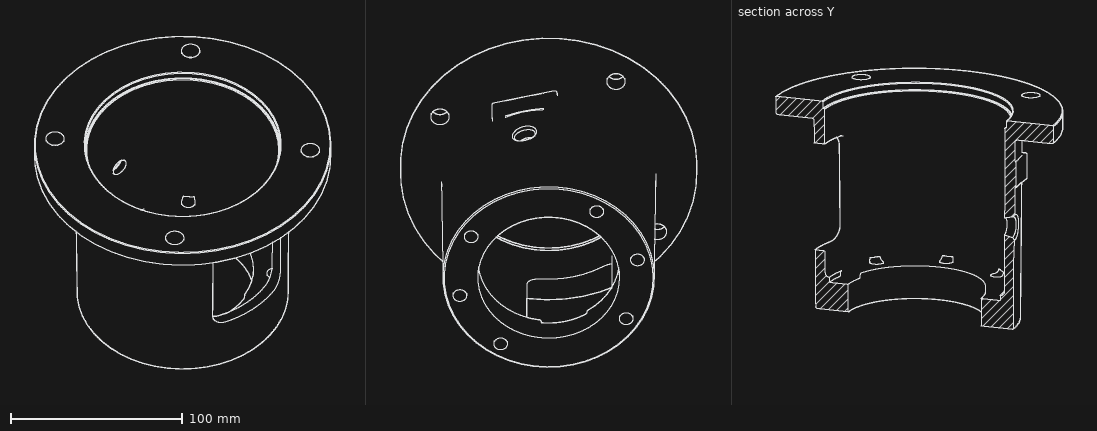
import cadquery as cq
import math

height = 127.0
flange_radius = 86.5
flange_thickness = 11.4
flange_top_chamfer = 0.5
flange_bottom_fillet = 1.5

body_top_radius = 62.7
body_bottom_radius = 61.7
body_root_fillet = 1.0
body_bottom_chamfer = 0.8

pilot_radius = 57.0
pilot_depth = 4.4
pilot_chamfer = 0.5
bore_top_radius = 56.0
bore_chamfer = 0.5
bore_floor_radius = 55.5
bore_floor_fillet = 2.5

floor_thickness = 20.0
floor_opening_radius = 41.3
pump_hole_diameter = 8.0
pump_bolt_circle = 106.4
pump_hole_angles = (45, 90, 135, 225, 270, 315)

channel_half_width = 13.7
channel_depth = 3.0
channel_fillet = 1.0

flange_hole_diameter = 10.7
flange_bolt_circle = 149.2
flange_hole_angles = (45, 135, 225, 315)

window_width = 52.6
window_top = height - 26.3
window_bottom = height - 91.1
window_corner_radius = 8.0
window_edge_fillet = 0.4

plug_depth_below_face = 64.7
plug_hole_radius = 5.0
plug_mouth_radius = 6.2
plug_countersink_radius = 7.7
plug_countersink_depth = 1.5

plate_width = 39.0
plate_height = 16.2
plate_top = height - 24.3
plate_face_x = -63.0
plate_corner_radius = 1.5
plate_edge_fillet = 1.0
plate_root_fillet = 0.6

clearance = 1.0

flange_underside = height - flange_thickness


def make_housing():
    """Flange and drafted body, solid inside."""
    flange = cq.Workplane("XY", origin=(0, 0, flange_underside)).circle(flange_radius).extrude(flange_thickness)
    flange = flange.faces(">Z").edges().chamfer(flange_top_chamfer)
    flange = flange.faces("<Z").edges().fillet(flange_bottom_fillet)
    body = (
        cq.Workplane("XY")
        .circle(body_bottom_radius)
        .workplane(offset=flange_underside)
        .circle(body_top_radius)
        .loft()
    )
    body = body.faces("<Z").edges().chamfer(body_bottom_chamfer)
    underside_edges = cq.selectors.BoxSelector(
        (-clearance, -clearance, flange_underside - clearance),
        (clearance, clearance, flange_underside + clearance),
    )
    smallest_circle = cq.selectors.RadiusNthSelector(0)
    return flange.union(body).edges(underside_edges).edges(smallest_circle).fillet(body_root_fillet)


def make_bore():
    """Revolved cutter for the pilot, the drafted bore and the pump opening."""
    pilot_floor = height - pilot_depth
    profile = [
        (0, -clearance),
        (floor_opening_radius, -clearance),
        (floor_opening_radius, floor_thickness),
        (bore_floor_radius, floor_thickness),
        (bore_top_radius, pilot_floor - bore_chamfer),
        (bore_top_radius + bore_chamfer, pilot_floor),
        (pilot_radius, pilot_floor),
        (pilot_radius, height - pilot_chamfer),
        (pilot_radius + pilot_chamfer, height),
        (pilot_radius + pilot_chamfer, height + clearance),
        (0, height + clearance),
    ]
    cutter = cq.Workplane("XZ").polyline(profile).close().revolve(360, (0, 0), (0, 1))
    floor_corner = cq.selectors.BoxSelector(
        (-clearance, -clearance, floor_thickness - clearance),
        (clearance, clearance, floor_thickness + clearance),
    )
    floor_edges = cutter.edges(floor_corner).edges(cq.selectors.RadiusNthSelector(-1))
    return floor_edges.fillet(bore_floor_fillet)


def make_channel():
    """Cutter for the floor channel: rounded bottom corners, flared rounded lips."""
    lip_half_width = channel_half_width + channel_fillet
    bottom = floor_thickness - channel_depth
    lip_base = floor_thickness - channel_fillet
    slot = (
        cq.Workplane("YZ")
        .center(0, bottom + channel_depth / 2)
        .rect(2 * channel_half_width, channel_depth)
        .extrude(bore_floor_radius, both=True)
        .faces("<Z")
        .edges("|X")
        .fillet(channel_fillet)
    )
    lips = (
        cq.Workplane("YZ")
        .moveTo(channel_half_width, lip_base)
        .radiusArc((lip_half_width, floor_thickness), channel_fillet)
        .lineTo(-lip_half_width, floor_thickness)
        .radiusArc((-channel_half_width, lip_base), channel_fillet)
        .close()
        .extrude(bore_floor_radius, both=True)
    )
    bounds = cq.Workplane("XY").circle(bore_floor_radius - bore_floor_fillet).extrude(height)
    return slot.union(lips).intersect(bounds)


def make_hole_ring(diameter, bolt_circle, angles, z_start, z_end):
    """Cylinders parallel to Z on a bolt circle."""
    radius = bolt_circle / 2
    centres = [(radius * math.cos(math.radians(a)), radius * math.sin(math.radians(a))) for a in angles]
    return (
        cq.Workplane("XY")
        .workplane(offset=z_start)
        .pushPoints(centres)
        .circle(diameter / 2)
        .extrude(z_end - z_start)
    )


def make_window():
    """Round-cornered cutter through the +X wall."""
    window_height = window_top - window_bottom
    return (
        cq.Workplane("YZ")
        .center(0, (window_top + window_bottom) / 2)
        .rect(window_width, window_height)
        .extrude(body_top_radius + clearance)
        .edges("|X")
        .fillet(window_corner_radius)
    )


def make_plug_hole():
    """Countersunk round cutter through the -X wall."""
    plug_z = height - plug_depth_below_face
    wall_radius = body_bottom_radius + (body_top_radius - body_bottom_radius) * plug_z / flange_underside
    slope = (plug_countersink_radius - plug_mouth_radius) / plug_countersink_depth
    profile = [
        (0, 0),
        (0, plug_hole_radius),
        (-bore_floor_radius, plug_hole_radius),
        (plug_countersink_depth - wall_radius, plug_mouth_radius),
        (-wall_radius - clearance, plug_countersink_radius + slope * clearance),
        (-wall_radius - clearance, 0),
    ]
    cutter = cq.Workplane("XY").polyline(profile).close().revolve(360, (0, 0), (1, 0))
    return cutter.translate((0, 0, plug_z))


def make_plate():
    """Name plate block, rooted inside the -X wall."""
    root_x = -bore_top_radius - clearance
    plate = (
        cq.Workplane("YZ")
        .workplane(offset=plate_face_x)
        .center(0, plate_top - plate_height / 2)
        .rect(plate_width, plate_height)
        .extrude(root_x - plate_face_x)
        .edges("|X")
        .fillet(plate_corner_radius)
    )
    return plate.faces("<X").edges().fillet(plate_edge_fillet)


def fillet_plate_root(housing):
    """Round the corner where the name plate leaves the cylindrical wall."""
    root_edges = cq.selectors.BoxSelector(
        (-body_top_radius - clearance, -plate_width / 2 - clearance, plate_top - plate_height - clearance),
        (-bore_top_radius, plate_width / 2 + clearance, plate_top + clearance),
        boundingbox=True,
    )
    edges = housing.edges(root_edges).filter(lambda e: e.geomType() not in ("LINE", "CIRCLE"))
    return edges.fillet(plate_root_fillet)


def fillet_window_edges(housing):
    """Round the rim of the access window on the bore side."""
    window_region = cq.selectors.BoxSelector(
        (0, -window_width / 2 - clearance, window_bottom - clearance),
        (bore_top_radius + clearance, window_width / 2 + clearance, window_top + clearance),
        boundingbox=True,
    )
    edges = housing.edges(window_region).filter(lies_on_bore)
    return edges.fillet(window_edge_fillet)


def lies_on_bore(edge):
    """True for an edge whose midpoint is on the bore wall."""
    middle = edge.positionAt(0.5)
    return math.hypot(middle.x, middle.y) < bore_top_radius


pump_holes = make_hole_ring(
    pump_hole_diameter, pump_bolt_circle, pump_hole_angles, -clearance, floor_thickness + bore_floor_fillet
)
flange_holes = make_hole_ring(
    flange_hole_diameter, flange_bolt_circle, flange_hole_angles, flange_underside - clearance, height + clearance
)

result = fillet_plate_root(make_housing().union(make_plate()))
result = result.cut(make_bore())
result = fillet_window_edges(result.cut(make_window()))
for cutter in (make_channel(), pump_holes, flange_holes, make_plug_hole()):
    result = result.cut(cutter)